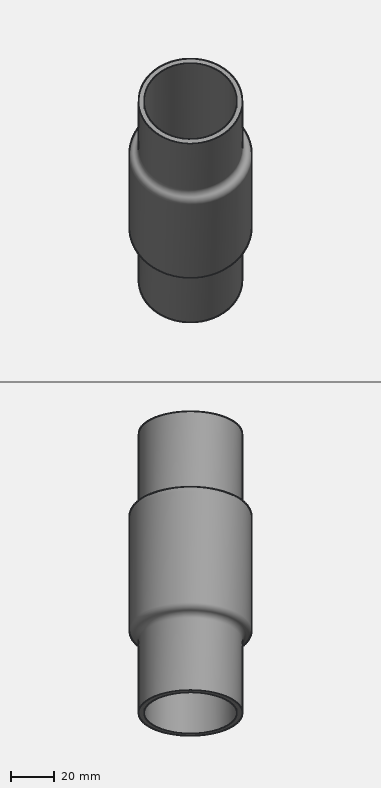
import cadquery as cq
import math

total_length = 144.0
body_diameter = 57.0
tube_diameter = 48.2
bore_diameter = 43.0
tube_length = 37.2
shoulder_length = 5.9

body_radius = body_diameter / 2
tube_radius = tube_diameter / 2
bore_radius = bore_diameter / 2
half_length = total_length / 2
shoulder_top = half_length - tube_length
shoulder_bottom = shoulder_top - shoulder_length

middle_radius = (body_radius + tube_radius) / 2
middle_z = (shoulder_top + shoulder_bottom) / 2
arc_width = (body_radius - tube_radius) / 2
arc_height = shoulder_length / 2
arc_radius = (arc_width**2 + arc_height**2) / (2 * arc_width)
half_arc_angle = math.atan2(arc_width, arc_height)
arc_bulge = arc_radius * (1 - math.cos(half_arc_angle))
arc_rise = arc_radius * math.sin(half_arc_angle)


def coupling():
    """Revolve the full wall section, with alike upper and lower ends, about the Z axis."""
    body_arc_radius = body_radius - arc_bulge
    body_arc_z = shoulder_bottom + arc_rise
    tube_arc_radius = tube_radius + arc_bulge
    tube_arc_z = shoulder_top - arc_rise
    section = (
        cq.Workplane("XZ")
        .moveTo(bore_radius, -half_length)
        .lineTo(tube_radius, -half_length)
        .lineTo(tube_radius, -shoulder_top)
        .threePointArc((tube_arc_radius, -tube_arc_z), (middle_radius, -middle_z))
        .threePointArc((body_arc_radius, -body_arc_z), (body_radius, -shoulder_bottom))
        .lineTo(body_radius, shoulder_bottom)
        .threePointArc((body_arc_radius, body_arc_z), (middle_radius, middle_z))
        .threePointArc((tube_arc_radius, tube_arc_z), (tube_radius, shoulder_top))
        .lineTo(tube_radius, half_length)
        .lineTo(bore_radius, half_length)
        .close()
    )
    return section.revolve(360, (0, 0, 0), (0, 1, 0))


result = coupling()